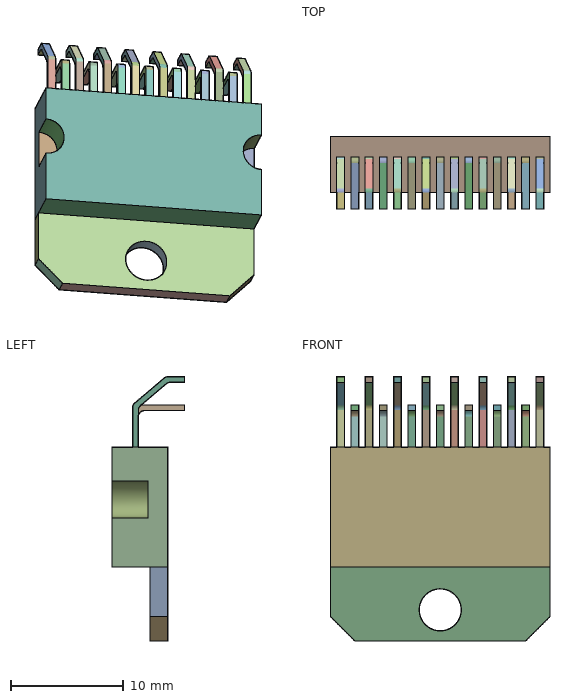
import cadquery as cq
import math

WIDTH = 19.6
HOUSING_DEPTH = 5.0
HOUSING_HEIGHT = 10.7

TAB_HEIGHT = 6.6
TAB_THICKNESS = 1.6
TAB_CORNER_CUT = 2.2
TAB_HOLE_DIAMETER = 3.73
TAB_HOLE_HEIGHT = 2.78

NOTCH_RADIUS = 1.65
NOTCH_DEPTH = 3.23
NOTCH_BELOW_TOP = 4.65

LEAD_COUNT = 15
LEAD_ROW_SPAN = 17.8
LEAD_WIDTH = 0.7
LEAD_THICKNESS = 0.52
LEAD_BEND_RADIUS = 0.55
LEAD_BACK_INSET = 1.85
LEAD_OVERHANG = 1.49
TALL_LEAD_HEIGHT = 6.3
SHORT_LEAD_HEIGHT = 3.78
SLANT_REACH = 2.97

HOUSING_TOP = TAB_HEIGHT + HOUSING_HEIGHT
LEAD_PITCH = LEAD_ROW_SPAN / (LEAD_COUNT - 1)
LEAD_BACK = HOUSING_DEPTH - LEAD_BACK_INSET
LEAD_FRONT = LEAD_BACK - LEAD_THICKNESS
LEAD_TIP = -LEAD_OVERHANG
SLANT_BOTTOM = HOUSING_TOP + SHORT_LEAD_HEIGHT


def make_tab():
    """Plate with two cut lower corners and a mounting hole."""
    plate = (
        cq.Workplane("XY")
        .box(WIDTH, TAB_THICKNESS, TAB_HEIGHT, centered=(True, False, False))
        .edges("|Y and <Z")
        .chamfer(TAB_CORNER_CUT)
    )
    hole = (
        cq.Workplane("XZ")
        .center(0, TAB_HOLE_HEIGHT)
        .circle(TAB_HOLE_DIAMETER / 2)
        .extrude(-TAB_THICKNESS)
    )
    return plate.cut(hole)


def make_housing_block():
    """Plain block with a half-round notch at the back of each side."""
    block = (
        cq.Workplane("XY", origin=(0, 0, TAB_HEIGHT))
        .box(WIDTH, HOUSING_DEPTH, HOUSING_HEIGHT, centered=(True, False, False))
    )
    notch_height = HOUSING_TOP - NOTCH_BELOW_TOP
    notches = (
        cq.Workplane("XZ", origin=(0, HOUSING_DEPTH, 0))
        .pushPoints([(-WIDTH / 2, notch_height), (WIDTH / 2, notch_height)])
        .circle(NOTCH_RADIUS)
        .extrude(NOTCH_DEPTH)
    )
    return block.cut(notches)


def extrude_lead(x, outline):
    """Bar with the given (Y, Z) outline, centred on x, with rounded bends."""
    bar = (
        cq.Workplane("YZ", origin=(x, 0, 0))
        .polyline(outline)
        .close()
        .extrude(LEAD_WIDTH / 2, both=True)
    )
    bends = bar.edges("|X").edges("not(<Y or <Z)")
    return bar.newObject(bends.vals()).fillet(LEAD_BEND_RADIUS)


def make_short_lead(x):
    """Lead that rises and turns forward in one square bend."""
    top = HOUSING_TOP + SHORT_LEAD_HEIGHT
    underside = top - LEAD_THICKNESS
    return extrude_lead(x, [
        (LEAD_BACK, HOUSING_TOP),
        (LEAD_BACK, top),
        (LEAD_TIP, top),
        (LEAD_TIP, underside),
        (LEAD_FRONT, underside),
        (LEAD_FRONT, HOUSING_TOP),
    ])


def make_tall_lead(x):
    """Lead that rises, slants forward and then runs level to its tip."""
    top = HOUSING_TOP + TALL_LEAD_HEIGHT
    underside = top - LEAD_THICKNESS
    slant_end = LEAD_BACK - SLANT_REACH
    slant_angle = math.atan2(top - SLANT_BOTTOM, SLANT_REACH)
    lower_shift = LEAD_THICKNESS * math.tan((math.pi / 2 - slant_angle) / 2)
    upper_shift = LEAD_THICKNESS * math.tan(slant_angle / 2)
    return extrude_lead(x, [
        (LEAD_BACK, HOUSING_TOP),
        (LEAD_BACK, SLANT_BOTTOM),
        (slant_end, top),
        (LEAD_TIP, top),
        (LEAD_TIP, underside),
        (slant_end - upper_shift, underside),
        (LEAD_FRONT, SLANT_BOTTOM - lower_shift),
        (LEAD_FRONT, HOUSING_TOP),
    ])


def make_housing():
    """Housing block with its row of leads, tall ones at both ends of the row."""
    housing = make_housing_block()
    for index in range(LEAD_COUNT):
        x = index * LEAD_PITCH - LEAD_ROW_SPAN / 2
        make_lead = make_tall_lead if index % 2 == 0 else make_short_lead
        housing = housing.union(make_lead(x))
    return housing


tab = make_tab()
housing = make_housing()
result = cq.Compound.makeCompound([tab.val(), housing.val()])